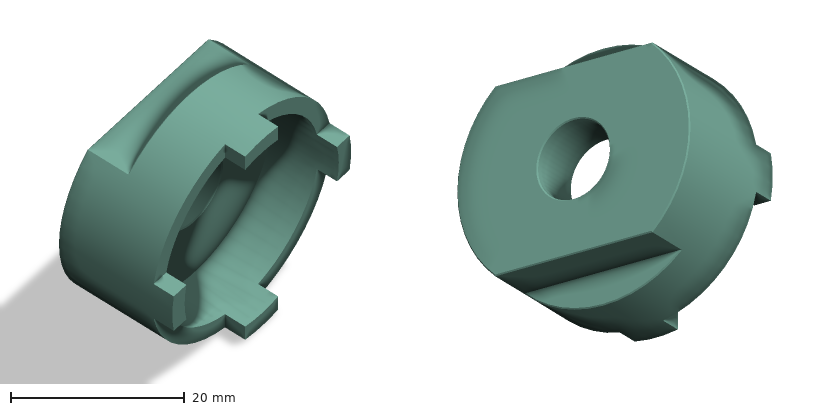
import cadquery as cq

body_diameter = 32.5
total_length = 17.0
tooth_length = 3.0
tooth_width = 6.0
across_flats = 24.0
flat_length = 6.0
bore_diameter = 10.0
bore_length = 7.0
recess_diameter = 28.0
edge_chamfer = 0.15

body_length = total_length - tooth_length


def workplane_at(x_position):
    """Plane across the axis, facing +X; its local x is Z and its local y is -Y."""
    return cq.Workplane(cq.Plane(origin=(x_position, 0, 0), xDir=(0, 0, 1), normal=(1, 0, 0)))


def cylinder(diameter, start, length):
    """Cylinder on the X axis, running toward +X from the start position."""
    return workplane_at(start).circle(diameter / 2).extrude(length)


def make_body():
    """Round body with two flats at its -X end; both -X faces have chamfered outer edges."""
    flat_sided_bar = workplane_at(0).rect(across_flats, body_diameter).extrude(body_length)
    front_section = cylinder(body_diameter, 0, body_length).intersect(flat_sided_bar)
    front_section = front_section.faces("<X").chamfer(edge_chamfer)

    rear_section = cylinder(body_diameter, flat_length, body_length - flat_length)
    rear_section = rear_section.faces("<X").chamfer(edge_chamfer)
    return front_section.union(rear_section)


def make_teeth():
    """Four drive teeth on the +X face, on the Y and Z axes, as a cross before the recess is cut."""
    plane = workplane_at(body_length)
    bar_along_z = plane.rect(body_diameter, tooth_width).extrude(tooth_length)
    bar_along_y = plane.rect(tooth_width, body_diameter).extrude(tooth_length)
    tooth_envelope = cylinder(body_diameter, body_length, tooth_length)
    return tooth_envelope.intersect(bar_along_y.union(bar_along_z))


def make_bore():
    """Solid to cut for the bore: a cylinder that flares at both ends to chamfer its edges."""
    radius = bore_diameter / 2
    flared_radius = radius + edge_chamfer
    profile = (
        cq.Workplane("XY")
        .moveTo(0, 0)
        .lineTo(0, flared_radius)
        .lineTo(edge_chamfer, radius)
        .lineTo(bore_length - edge_chamfer, radius)
        .lineTo(bore_length, flared_radius)
        .lineTo(bore_length, 0)
        .close()
    )
    return profile.revolve(360, (0, 0, 0), (1, 0, 0))


def make_recess():
    """Solid to cut for the round recess behind the bore, which also trims the teeth inside."""
    return cylinder(recess_diameter, bore_length, total_length - bore_length)


result = make_body().union(make_teeth()).cut(make_bore()).cut(make_recess())